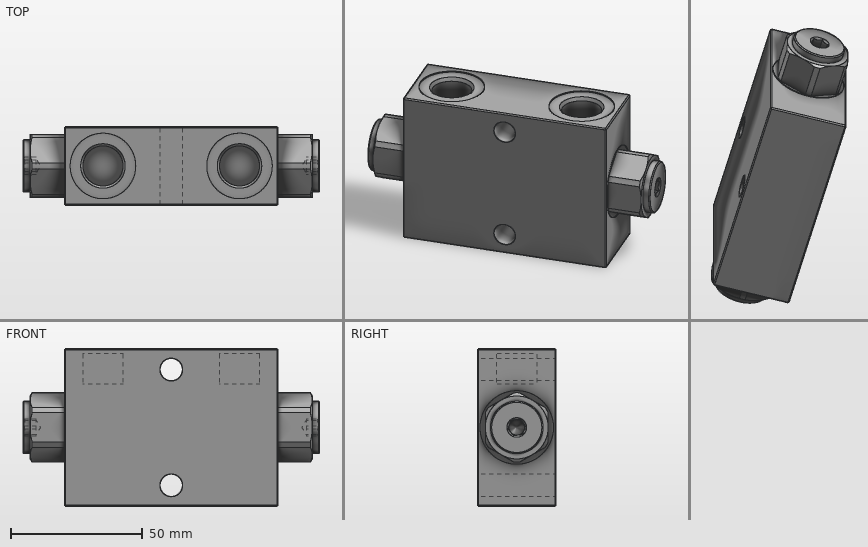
import cadquery as cq
import math

overall_length = 113.0
block_length = 81.4
block_width = 30.0
block_height = 60.0
block_chamfer = 0.5

mount_hole_diameter = 8.5
mount_hole_offset = 22.0
mount_hole_chamfer = 0.1

port_offset = 26.0
port_diameter = 15.3
port_mouth_diameter = 17.0
port_mouth_depth = 1.4
port_depth = 13.6
port_seat_diameter = 25.0
port_seat_depth = 0.5

plug_seat_diameter = 28.0
plug_seat_depth = 0.3
hex_flats = 24.0
hex_corner_diameter = 26.4
hex_face_diameter = 24.0
hex_bevel_angle = 30.0
hex_end = 53.7
cap_diameter = 20.0
cap_chamfer = 0.5

socket_flats = 5.9
socket_turn = 10.0
socket_depth = 5.0
socket_mouth_diameter = 7.5
socket_tip_angle = 118.0


def hexagon_corner_diameter(flats):
    return flats / math.cos(math.radians(30))


def make_block():
    block = cq.Workplane("XY").box(block_length, block_width, block_height)
    block = block.edges().chamfer(block_chamfer)
    return block


def cut_mount_holes(body):
    """Two plain holes along Y with lightly broken edges."""
    radius = mount_hole_diameter / 2
    half_width = block_width / 2
    profile = [
        (0, -half_width),
        (radius + mount_hole_chamfer, -half_width),
        (radius, -half_width + mount_hole_chamfer),
        (radius, half_width - mount_hole_chamfer),
        (radius + mount_hole_chamfer, half_width),
        (0, half_width),
    ]
    hole = cq.Workplane("XY").polyline(profile).close().revolve(360, (0, 0, 0), (0, 1, 0))
    for z in (-mount_hole_offset, mount_hole_offset):
        body = body.cut(hole.translate((0, 0, z)))
    return body


def cut_ports(body):
    """Two blind ports from the top, each with a shallow seat and a bevelled mouth."""
    top = block_height / 2
    seat = top - port_seat_depth
    mouth_radius = port_mouth_diameter / 2
    bore_radius = port_diameter / 2
    profile = [
        (0, top),
        (port_seat_diameter / 2, top),
        (port_seat_diameter / 2, seat),
        (mouth_radius, seat),
        (bore_radius, seat - port_mouth_depth),
        (bore_radius, top - port_depth),
        (0, top - port_depth),
    ]
    port = cq.Workplane("XZ").polyline(profile).close().revolve(360, (0, 0, 0), (0, 1, 0))
    for x in (-port_offset, port_offset):
        body = body.cut(port.translate((x, 0, 0)))
    return body


def make_plug():
    """Plug on the +X end: bevelled hexagon, round cap and hexagon socket."""
    end = overall_length / 2
    start = block_length / 2 - plug_seat_depth
    corner_radius = hex_corner_diameter / 2
    face_radius = hex_face_diameter / 2
    bevel_length = (corner_radius - face_radius) * math.tan(math.radians(hex_bevel_angle))

    hexagon = (
        cq.Workplane("YZ", origin=(start, 0, 0))
        .transformed(rotate=(0, 0, 90))
        .polygon(6, hexagon_corner_diameter(hex_flats))
        .extrude(hex_end - start)
    )
    turned_envelope = (
        cq.Workplane("XY")
        .polyline([
            (start, 0),
            (start, corner_radius),
            (hex_end - bevel_length, corner_radius),
            (hex_end, face_radius),
            (hex_end, 0),
        ])
        .close()
        .revolve(360, (0, 0, 0), (1, 0, 0))
    )
    cap = (
        cq.Workplane("YZ", origin=(hex_end, 0, 0))
        .circle(cap_diameter / 2)
        .extrude(end - hex_end)
        .faces(">X")
        .chamfer(cap_chamfer)
    )
    return hexagon.intersect(turned_envelope).union(cap).cut(make_socket())


def make_socket():
    """Hexagon recess with a bevelled mouth and a conical drilled bottom, open at +X."""
    end = overall_length / 2
    bottom = end - socket_depth
    drill_radius = socket_flats / 2
    mouth_radius = socket_mouth_diameter / 2
    bevel_depth = mouth_radius - drill_radius
    tip_length = drill_radius / math.tan(math.radians(socket_tip_angle / 2))

    hexagon = (
        cq.Workplane("YZ", origin=(bottom, 0, 0))
        .transformed(rotate=(0, 0, socket_turn))
        .polygon(6, hexagon_corner_diameter(socket_flats))
        .extrude(socket_depth)
    )
    drilled_bottom_and_mouth = (
        cq.Workplane("XY")
        .polyline([
            (bottom - tip_length, 0),
            (bottom, drill_radius),
            (end - bevel_depth, drill_radius),
            (end, mouth_radius),
            (end, 0),
        ])
        .close()
        .revolve(360, (0, 0, 0), (1, 0, 0))
    )
    return hexagon.union(drilled_bottom_and_mouth)


def add_plugs(body):
    """Sink a round seat into each end face and set a plug on its floor."""
    seat_floor = block_length / 2 - plug_seat_depth
    seat = (
        cq.Workplane("YZ", origin=(seat_floor, 0, 0))
        .circle(plug_seat_diameter / 2)
        .extrude(plug_seat_depth)
    )
    plug = make_plug()
    for turn in (0, 180):
        body = body.cut(seat.rotate((0, 0, 0), (0, 0, 1), turn))
        body = body.union(plug.rotate((0, 0, 0), (0, 0, 1), turn))
    return body


result = add_plugs(cut_ports(cut_mount_holes(make_block())))